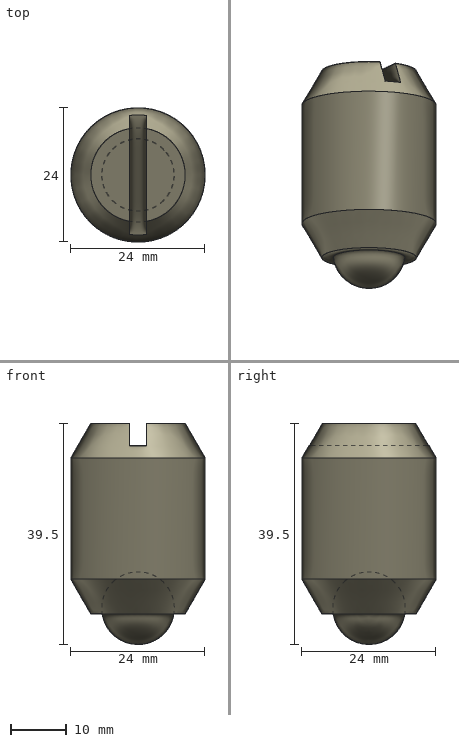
import cadquery as cq
import math

total_length = 39.5
body_diameter = 24.0
ball_diameter = 13.0
ball_protrusion = 5.5

cone_height = 6.2
cone_half_angle = 30.0

slot_width = 3.0
slot_depth = 4.0

housing_length = total_length - ball_protrusion
body_radius = body_diameter / 2
ball_radius = ball_diameter / 2
ball_center_z = ball_radius - ball_protrusion
end_radius = body_radius - cone_height * math.tan(math.radians(cone_half_angle))


def make_ball():
    """Whole ball, protruding below the housing."""
    return cq.Workplane("XY").sphere(ball_radius).translate((0, 0, ball_center_z))


def make_slot_cutter():
    """Bar that removes the screwdriver slot."""
    return (
        cq.Workplane("XY")
        .workplane(offset=housing_length - slot_depth)
        .rect(slot_width, body_diameter)
        .extrude(slot_depth)
    )


def make_housing():
    """Cylinder with conical ends, a slot on top and a spherical seat below."""
    blank = (
        cq.Workplane("XZ")
        .moveTo(0, 0)
        .lineTo(end_radius, 0)
        .lineTo(body_radius, cone_height)
        .lineTo(body_radius, housing_length - cone_height)
        .lineTo(end_radius, housing_length)
        .lineTo(0, housing_length)
        .close()
        .revolve(360, (0, 0, 0), (0, 1, 0))
    )
    return blank.cut(make_slot_cutter()).cut(make_ball())


housing = make_housing()
ball = make_ball()

result = cq.Compound.makeCompound([housing.solids().val(), ball.val()])